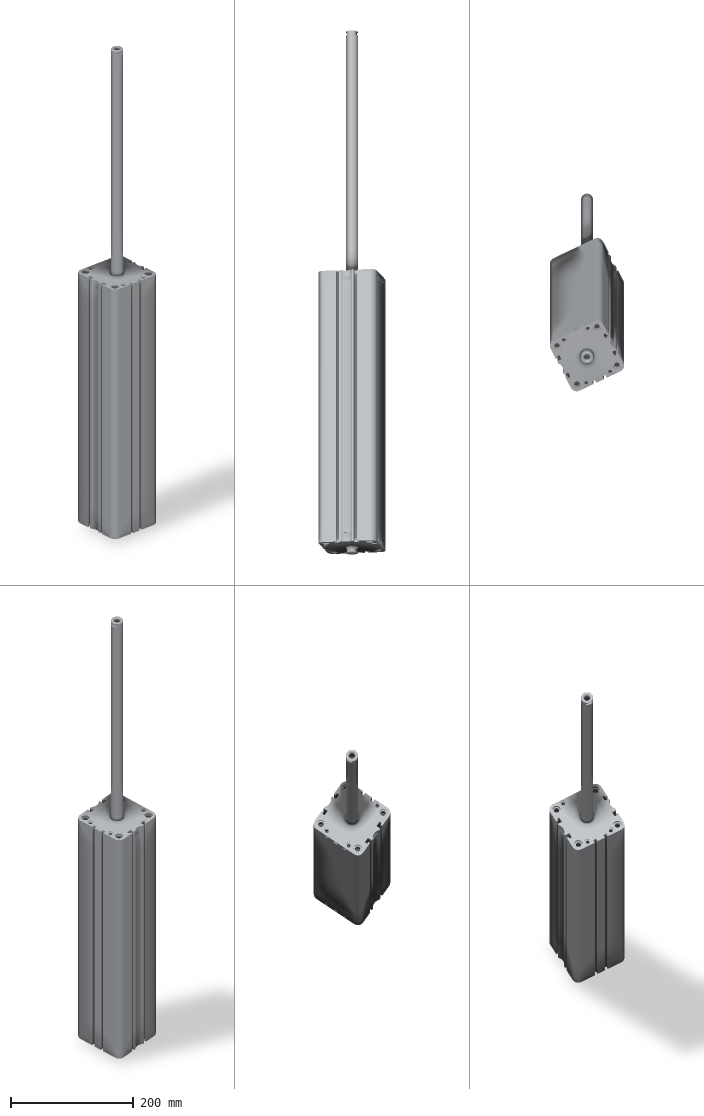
import cadquery as cq
import math

total_length = 872.0
lower_rod_overhang = 10.5
cap_height = 16.0
barrel_length = 422.0
lower_cap_top = lower_rod_overhang + cap_height
barrel_top = lower_cap_top + barrel_length

profile_side = 96.0
half_side = profile_side / 2
corner_radius = 10.5

sensor_slot_inner_wall = 12.0
sensor_slot_mouth = 5.0
sensor_slot_undercut = 3.5
sensor_slot_depth = 8.0
sensor_slot_lip = 3.5

side_slot_offset = 10.0
side_slot_width = 5.0
side_slot_depth = 5.0

groove_width = 18.0
barrel_groove_floor_width = 13.0
barrel_groove_side_depth = 2.0
barrel_groove_depth = 3.0
cap_groove_depth = 3.5

rod_diameter = 20.0
rod_chamfer = 1.0
wrench_flat_spacing = 15.0
wrench_flat_length = 5.0
wrench_flat_end_distance = 2.0
rod_thread_diameter = 10.0
rod_thread_mouth_diameter = 13.0
rod_thread_depth = 22.0
drill_point_angle = 118.0

rod_recess_mouth_diameter = 25.0
rod_recess_diameter = 23.0
rod_recess_depth = 3.0
rod_recess_chamfer = (rod_recess_mouth_diameter - rod_recess_diameter) / 2

screw_spacing = 73.0
screw_head_diameter = 13.0
screw_head_depth = 3.5
screw_hole_diameter = 8.55
mount_spacing_x = 82.0
mount_spacing_y = 44.0
mount_mouth_diameter = 10.5
mount_mouth_depth = 1.0
mount_hole_diameter = 6.0
mount_hole_depth = 10.5

port_diameter = 8.55
port_depth = 13.0
side_hole_offset = 18.0
side_hole_diameter = 6.0
side_hole_depth = 5.0


def sensor_slot(length):
    """One L-shaped slot in the -Y face, right of the middle, with its undercut pointing outwards."""
    mouth_outer_wall = sensor_slot_inner_wall + sensor_slot_mouth
    undercut_wall = mouth_outer_wall + sensor_slot_undercut
    return (
        cq.Workplane("XY")
        .moveTo(sensor_slot_inner_wall, -half_side)
        .lineTo(mouth_outer_wall, -half_side)
        .lineTo(mouth_outer_wall, -half_side + sensor_slot_lip)
        .lineTo(undercut_wall, -half_side + sensor_slot_lip)
        .lineTo(undercut_wall, -half_side + sensor_slot_depth)
        .lineTo(sensor_slot_inner_wall, -half_side + sensor_slot_depth)
        .close()
        .extrude(length)
    )


def barrel_groove():
    """The barrel's groove in the -Y face: sloping sides and a concave floor."""
    return (
        cq.Workplane("XY")
        .moveTo(-groove_width / 2, -half_side)
        .lineTo(-barrel_groove_floor_width / 2, -half_side + barrel_groove_side_depth)
        .threePointArc(
            (0, -half_side + barrel_groove_depth),
            (barrel_groove_floor_width / 2, -half_side + barrel_groove_side_depth),
        )
        .lineTo(groove_width / 2, -half_side)
        .close()
        .extrude(barrel_length)
    )


def cap_groove():
    """The cap's groove in the -Y face: one concave arc."""
    return (
        cq.Workplane("XY")
        .moveTo(-groove_width / 2, -half_side)
        .threePointArc((0, -half_side + cap_groove_depth), (groove_width / 2, -half_side))
        .close()
        .extrude(cap_height)
    )


def profile(length, groove):
    """The rounded square profile with its slots and the given groove, standing on Z = 0."""
    body = cq.Workplane("XY").rect(profile_side, profile_side).extrude(length)
    body = body.edges("|Z").fillet(corner_radius)
    slot = sensor_slot(length)
    front_cuts = slot.union(slot.mirror("YZ")).union(groove)
    body = body.cut(front_cuts).cut(front_cuts.mirror("XZ"))
    side_slots = (
        cq.Workplane("XY")
        .pushPoints([(half_side - side_slot_depth / 2, y) for y in (-side_slot_offset, side_slot_offset)])
        .rect(side_slot_depth, side_slot_width)
        .extrude(length)
    )
    return body.cut(side_slots)


def make_barrel():
    """The profiled barrel with a bore that fits the rod."""
    body = profile(barrel_length, barrel_groove())
    return body.faces(">Z").workplane().hole(rod_diameter).translate((0, 0, lower_cap_top))


def rod_recess(outer_face):
    """The round recess around the rod, with a chamfered mouth."""
    recess = outer_face.circle(rod_recess_diameter / 2).extrude(-rod_recess_depth)
    mouth = (
        outer_face.circle(rod_recess_mouth_diameter / 2)
        .workplane(offset=-rod_recess_chamfer)
        .circle(rod_recess_diameter / 2)
        .loft()
    )
    return recess.union(mouth)


def make_cap():
    """An end cap with its outer face at the top and its inner face on Z = 0."""
    body = profile(cap_height, cap_groove())
    outer_face = cq.Workplane("XY", origin=(0, 0, cap_height))
    body = body.cut(rod_recess(outer_face))
    body = body.cut(outer_face.circle(rod_diameter / 2).extrude(-cap_height))

    screws = outer_face.rect(screw_spacing, screw_spacing, forConstruction=True).vertices()
    body = body.cut(screws.circle(screw_head_diameter / 2).extrude(-screw_head_depth))
    body = body.cut(screws.circle(screw_hole_diameter / 2).extrude(-cap_height))

    mounts = outer_face.rect(mount_spacing_x, mount_spacing_y, forConstruction=True).vertices()
    body = body.cut(mounts.circle(mount_mouth_diameter / 2).extrude(-mount_mouth_depth))
    body = body.cut(mounts.circle(mount_hole_diameter / 2).extrude(-mount_hole_depth))

    side_face = cq.Workplane("YZ", origin=(-half_side, 0, cap_height / 2))
    body = body.cut(side_face.circle(port_diameter / 2).extrude(port_depth))
    side_holes = side_face.pushPoints([(-side_hole_offset, 0), (side_hole_offset, 0)])
    return body.cut(side_holes.circle(side_hole_diameter / 2).extrude(side_hole_depth))


def rod_thread_hole():
    """A blind hole down from Z = 0 with a countersunk mouth and a drill point."""
    radius = rod_thread_diameter / 2
    mouth_radius = rod_thread_mouth_diameter / 2
    point_height = radius / math.tan(math.radians(drill_point_angle / 2))
    return (
        cq.Workplane("XZ")
        .lineTo(mouth_radius, 0)
        .lineTo(radius, radius - mouth_radius)
        .lineTo(radius, -rod_thread_depth)
        .lineTo(0, -rod_thread_depth - point_height)
        .close()
        .revolve(360, (0, 0), (0, 1))
    )


def wrench_flats():
    """The material removed for two flats, facing -X and +X, near the rod's lower end."""
    flat_depth = (rod_diameter - wrench_flat_spacing) / 2
    flat_center = (rod_diameter - flat_depth) / 2
    return (
        cq.Workplane("XY", origin=(0, 0, wrench_flat_end_distance))
        .pushPoints([(-flat_center, 0), (flat_center, 0)])
        .rect(flat_depth, rod_diameter)
        .extrude(wrench_flat_length)
    )


def make_rod():
    """The rod through the whole cylinder, alike at both ends."""
    body = cq.Workplane("XY").circle(rod_diameter / 2).extrude(total_length)
    body = body.faces("<Z or >Z").chamfer(rod_chamfer)
    flats = wrench_flats()
    body = body.cut(flats).cut(flats.mirror("XY").translate((0, 0, total_length)))
    hole = rod_thread_hole()
    return body.cut(hole.mirror("XY")).cut(hole.translate((0, 0, total_length)))


barrel = make_barrel()
cap = make_cap()
upper_cap = cap.translate((0, 0, barrel_top))
lower_cap = cap.mirror("XY").translate((0, 0, lower_cap_top))
rod = make_rod()

result = cq.Compound.makeCompound([barrel.val(), upper_cap.val(), lower_cap.val(), rod.val()])